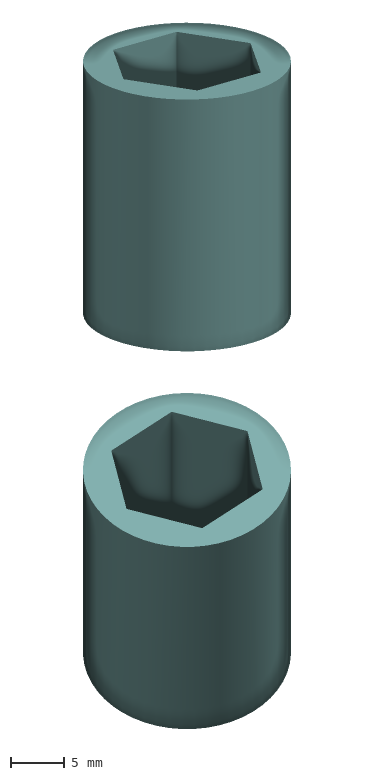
import cadquery as cq
import math

height = 25.4
outer_diameter = 19.5
hex_across_flats = 13.0
hex_across_corners = hex_across_flats / math.cos(math.radians(30))

sleeve = cq.Workplane("XY").circle(outer_diameter / 2).extrude(height)

hex_bore = cq.Workplane("XY").polygon(6, hex_across_corners).extrude(height)

result = sleeve.cut(hex_bore)